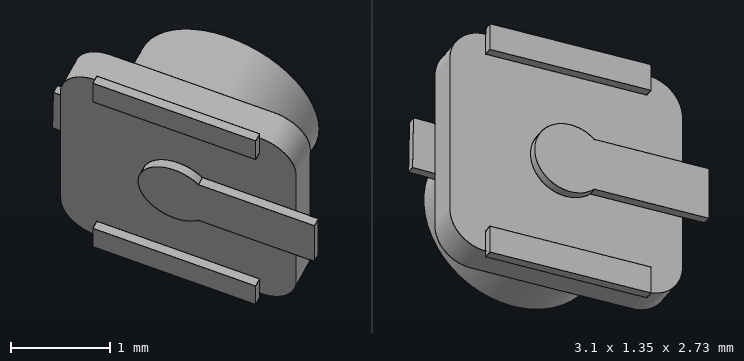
import cadquery as cq
import math

plate_width = 2.605
plate_height = 2.592
plate_thickness = 0.353
corner_radius = 0.4

barrel_radius = 1.0
barrel_length = 0.895

contact_thickness = 0.1
overall_width = 3.1
overall_height = 2.73
half_span = overall_width / 2
ground_length = 1.8
ground_height = 0.31

pad_radius = 0.4
arm_height = 0.595

tab_height = 0.6
tab_tilt = 1.0

plate_front = contact_thickness
plate_back = plate_front + plate_thickness


def box_between(x_start, x_end, y_front, thickness, z_center, height):
    """Box given by its X range, front face, thickness and Z extent."""
    return cq.Workplane("XY").box(
        x_end - x_start, thickness, height, centered=(False, False, True)
    ).translate((x_start, y_front, z_center))


def disc(radius, y_front, length):
    """Cylinder about the Y axis, running back from y_front."""
    return cq.Workplane("XZ", origin=(0, y_front, 0)).circle(radius).extrude(-length)


plate = box_between(
    -plate_width / 2, plate_width / 2, plate_front, plate_thickness, 0, plate_height
).edges("|Y").fillet(corner_radius)

barrel = disc(barrel_radius, plate_back, barrel_length)

signal_contact = disc(pad_radius, 0, contact_thickness).union(
    box_between(0, half_span, 0, contact_thickness, 0, arm_height)
)

tilt = math.radians(tab_tilt)
tab_reach = (half_span - tab_height / 2 * math.sin(tilt)) / math.cos(tilt)
rear_tab = box_between(-tab_reach, 0, plate_back, contact_thickness, 0, tab_height).rotate(
    (0, 0, 0), (0, 1, 0), tab_tilt
)

result = plate.union(barrel).union(signal_contact).union(rear_tab)

for side in (-1, 1):
    ground_z = side * (overall_height - ground_height) / 2
    result = result.union(
        box_between(-ground_length / 2, ground_length / 2, 0, contact_thickness, ground_z, ground_height)
    )